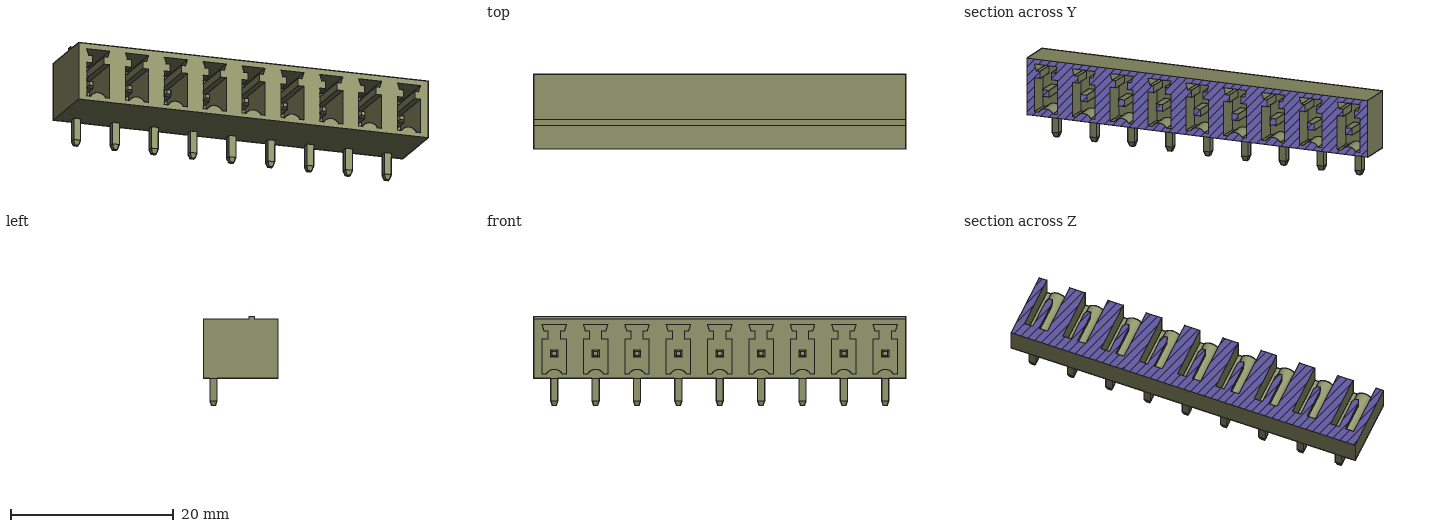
import cadquery as cq


position_count = 9
pitch = 5.08
housing_length = position_count * pitch
housing_depth = 9.2
housing_height = 7.3

rib_height = 0.3
rib_width = 0.7
rib_front = 2.9

cavity_width = 3.0
cavity_depth = 7.2
cavity_floor = 0.55
cavity_roof_thickness = 0.7
cavity_ceiling = housing_height - cavity_roof_thickness
shoulder_height = 4.85
neck_width = 1.5
neck_top = 5.8
dovetail_base_width = 2.5

ridge_width = 1.95
ridge_height = 0.55

pin_size = 0.9
pin_axis_height = 3.05
pin_leg_back_gap = 0.8
pin_leg_length = 3.35
pin_contact_recess = 2.5
pin_taper_length = 0.6
pin_tip_size = 0.5


def centred_positions():
    """X of every cavity centre."""
    first = -(position_count - 1) * pitch / 2
    return [first + index * pitch for index in range(position_count)]


def make_housing():
    """Plain rectangular block with the locating rib on top."""
    block = (
        cq.Workplane("XY")
        .box(housing_length, housing_depth, housing_height, centered=(True, False, False))
    )
    rib = (
        cq.Workplane("XY", origin=(0, rib_front, housing_height))
        .box(housing_length, rib_width, rib_height, centered=(True, False, False))
    )
    return block.union(rib)


def make_cavity(x):
    """Keyhole-shaped void with a dovetail top and an arched ridge left standing on its floor."""
    half_width = cavity_width / 2
    half_neck = neck_width / 2
    half_dovetail = dovetail_base_width / 2
    half_ridge = ridge_width / 2
    return (
        cq.Workplane("XZ", origin=(x, 0, 0))
        .moveTo(-half_width, cavity_floor)
        .lineTo(-half_ridge, cavity_floor)
        .threePointArc((0, cavity_floor + ridge_height), (half_ridge, cavity_floor))
        .lineTo(half_width, cavity_floor)
        .lineTo(half_width, shoulder_height)
        .lineTo(half_neck, shoulder_height)
        .lineTo(half_neck, neck_top)
        .lineTo(half_dovetail, neck_top)
        .lineTo(half_width, cavity_ceiling)
        .lineTo(-half_width, cavity_ceiling)
        .lineTo(-half_dovetail, neck_top)
        .lineTo(-half_neck, neck_top)
        .lineTo(-half_neck, shoulder_height)
        .lineTo(-half_width, shoulder_height)
        .close()
        .extrude(-cavity_depth)
    )


def make_tapered_bar(start, direction, length):
    """Square bar running from the start point, its last stretch tapered to a smaller square tip."""
    sketch_plane = cq.Plane(origin=start, xDir=(1, 0, 0), normal=direction)
    shaft = cq.Workplane(sketch_plane).rect(pin_size, pin_size).extrude(length - pin_taper_length)
    taper = (
        cq.Workplane(sketch_plane)
        .workplane(offset=length - pin_taper_length)
        .rect(pin_size, pin_size)
        .workplane(offset=pin_taper_length)
        .rect(pin_tip_size, pin_tip_size)
        .loft(ruled=True)
    )
    return shaft.union(taper)


def make_pin(x):
    """Right-angle pin with a contact facing the mating face and a solder leg below the housing."""
    leg_back = housing_depth - pin_leg_back_gap
    leg_axis = leg_back - pin_size / 2
    leg_top = pin_axis_height + pin_size / 2
    contact = make_tapered_bar((x, leg_back, pin_axis_height), (0, -1, 0), leg_back - pin_contact_recess)
    leg = make_tapered_bar((x, leg_axis, leg_top), (0, 0, -1), leg_top + pin_leg_length)
    return contact.union(leg)


result = make_housing()
for centre_x in centred_positions():
    result = result.cut(make_cavity(centre_x)).union(make_pin(centre_x))